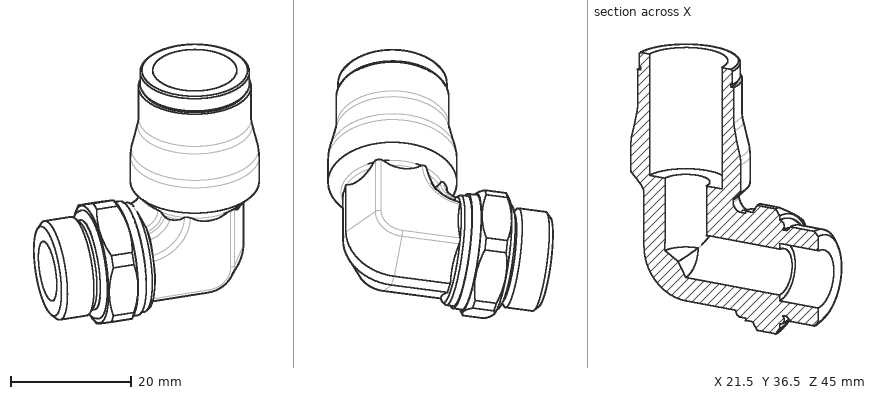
import cadquery as cq
import math


SLEEVE_TOP = 34.0
SLEEVE_RADIUS = 9.4
COLLAR_RADIUS = 9.1
COLLAR_BOTTOM = 31.35
COLLAR_CHAMFER = 0.3
COLLAR_GROOVE_RADIUS = 8.8
COLLAR_GROOVE_BOTTOM = 30.9
FLARE_RADIUS = 10.75
FLARE_TOP = 24.1
FLARE_BOTTOM = 18.3
FLARE_BLEND = 6.0
FLARE_EDGE = 12.73
SKIRT_RADIUS = 8.63
SKIRT_BOTTOM = FLARE_EDGE - (FLARE_RADIUS - SKIRT_RADIUS)
NECK_RADIUS = 8.25
NECK_BOTTOM = 9.88
NECK_ROOT_RADIUS = 7.2
NECK_ROOT = 8.2

BODY_HALF_WIDTH = 8.0
BACK_REACH = 8.18
BACK_BEVEL_START = 4.25
BEVEL_SLOPE = math.tan(math.radians(30))
BODY_BLEND = 1.0
THROAT_CENTRE = 10.8
THROAT_RUN_ON = 0.9
THROAT_BEVEL_START = 3.95
RIB_HALF_WIDTH = 4.47
RIB_TOP = 9.22
RIB_CROWN_RADIUS = 6.77
RIB_SHOULDER_RADIUS = 0.9

HUB_ROOT_RADIUS = 7.2
HUB_ROOT = 9.2
HUB_FACE_RADIUS = 8.9
HUB_FACE = 9.85
HUB_RADIUS = 9.25
HUB_CHAMFER_END = 10.4
WASHER_RADIUS = 9.65
WASHER_START = 11.57
HEX_ACROSS_FLATS = 20.0
HEX_CORNER_RADIUS = 11.0
HEX_START = 13.07
HEX_END = 18.25
HEX_FACE_RADIUS = 9.9
HEX_CHAMFER_LENGTH = 0.78
SEAL_RADIUS = 9.15
SEAL_END = 19.14
UNDERCUT_RADIUS = 7.57
UNDERCUT_END = 19.55
SPIGOT_RADIUS = 8.35
SPIGOT_CHAMFER = 0.8
SPIGOT_END = 25.75

BORE_RADIUS = 4.0
DRILL_TIP = BORE_RADIUS * math.tan(math.radians(30))
TUBE_SOCKET_RADIUS = 7.0
TUBE_SOCKET_FLOOR = FLARE_EDGE
SPIGOT_COUNTERBORE_RADIUS = 5.0
SPIGOT_COUNTERBORE_FLOOR = HEX_END


def outline(points):
    """Closed sketch through the given corner points."""
    sketch = cq.Sketch()
    for start, end in zip(points, points[1:] + points[:1]):
        sketch = sketch.segment(start, end)
    return sketch.assemble()


def round_corner(sketch, corner, radius):
    """Round the sketch corner at the given point."""
    nearest = cq.NearestToPointSelector((corner[0], corner[1], 0))
    return sketch.reset().vertices(nearest).fillet(radius).reset()


def turned_about_z(sketch):
    """Revolve a (radius, height) sketch about the Z axis."""
    return cq.Workplane("XZ").placeSketch(sketch).revolve(360, (0, 0, 0), (0, 1, 0))


def onto_spigot_axis(solid):
    """Swing a solid turned about Z onto the spigot axis, so that +Z becomes -Y."""
    return solid.rotate((0, 0, 0), (1, 0, 0), 90)


def make_sleeve():
    """Push-in sleeve with release collar, flared middle and conical neck."""
    flare_start = (SLEEVE_RADIUS, FLARE_TOP)
    flare_end = (FLARE_RADIUS, FLARE_BOTTOM)
    sketch = outline([
        (0, NECK_ROOT),
        (NECK_ROOT_RADIUS, NECK_ROOT),
        (NECK_RADIUS, NECK_BOTTOM),
        (SKIRT_RADIUS, SKIRT_BOTTOM),
        (FLARE_RADIUS, FLARE_EDGE),
        flare_end,
        flare_start,
        (SLEEVE_RADIUS, COLLAR_GROOVE_BOTTOM),
        (COLLAR_GROOVE_RADIUS, COLLAR_GROOVE_BOTTOM),
        (COLLAR_GROOVE_RADIUS, COLLAR_BOTTOM),
        (COLLAR_RADIUS, COLLAR_BOTTOM),
        (COLLAR_RADIUS, SLEEVE_TOP - COLLAR_CHAMFER),
        (COLLAR_RADIUS - COLLAR_CHAMFER, SLEEVE_TOP),
        (0, SLEEVE_TOP),
    ])
    sketch = round_corner(sketch, flare_start, FLARE_BLEND)
    sketch = round_corner(sketch, flare_end, FLARE_BLEND)
    return turned_about_z(sketch)


def make_elbow_back():
    """Outer half of the elbow: two bevelled legs joined by a quarter turn about the X axis."""
    crown_half_width = BODY_HALF_WIDTH - (BACK_REACH - BACK_BEVEL_START) / BEVEL_SLOPE
    bevel_corners = [(side * BODY_HALF_WIDTH, BACK_BEVEL_START) for side in (1, -1)]
    section = outline([
        (-BODY_HALF_WIDTH, 0),
        (BODY_HALF_WIDTH, 0),
        bevel_corners[0],
        (crown_half_width, BACK_REACH),
        (-crown_half_width, BACK_REACH),
        bevel_corners[1],
    ])
    for corner in bevel_corners:
        section = round_corner(section, corner, BODY_BLEND)
    upright_leg = cq.Workplane("XY").placeSketch(section).extrude(THROAT_CENTRE)
    level_leg = onto_spigot_axis(upright_leg).mirror("XY")
    bend = cq.Workplane("XY").placeSketch(section).revolve(90, (0, 0, 0), (-1, 0, 0))
    return upright_leg, level_leg, bend


def throat_section():
    """Cross-section of the elbow's inner side: bevelled cheeks and a crowned central rib."""
    rib_foot = THROAT_BEVEL_START + (BODY_HALF_WIDTH - RIB_HALF_WIDTH) * BEVEL_SLOPE
    section_base = THROAT_CENTRE * (1 - math.sqrt(2))

    crown_centre = RIB_TOP - RIB_CROWN_RADIUS
    shoulder_x = RIB_HALF_WIDTH - RIB_SHOULDER_RADIUS
    shoulder_rise = math.sqrt((RIB_CROWN_RADIUS - RIB_SHOULDER_RADIUS)**2 - shoulder_x**2)
    shoulder_height = crown_centre + shoulder_rise
    shoulder_turn = math.atan2(shoulder_rise, shoulder_x)
    crown_x = shoulder_x + RIB_SHOULDER_RADIUS * math.cos(shoulder_turn)
    crown_height = shoulder_height + RIB_SHOULDER_RADIUS * math.sin(shoulder_turn)
    middle_x = shoulder_x + RIB_SHOULDER_RADIUS * math.cos(shoulder_turn / 2)
    middle_height = shoulder_height + RIB_SHOULDER_RADIUS * math.sin(shoulder_turn / 2)

    section = cq.Sketch()
    section = section.segment((-BODY_HALF_WIDTH, section_base), (BODY_HALF_WIDTH, section_base))
    section = section.arc((-crown_x, crown_height), (0, RIB_TOP), (crown_x, crown_height))
    for side in (1, -1):
        base_corner = (side * BODY_HALF_WIDTH, section_base)
        bevel_corner = (side * BODY_HALF_WIDTH, THROAT_BEVEL_START)
        foot_corner = (side * RIB_HALF_WIDTH, rib_foot)
        shoulder_start = (side * RIB_HALF_WIDTH, shoulder_height)
        shoulder_middle = (side * middle_x, middle_height)
        shoulder_end = (side * crown_x, crown_height)
        section = section.segment(base_corner, bevel_corner)
        section = section.segment(bevel_corner, foot_corner)
        section = section.segment(foot_corner, shoulder_start)
        section = section.arc(shoulder_start, shoulder_middle, shoulder_end)
    section = section.assemble()
    for side in (1, -1):
        section = round_corner(section, (side * BODY_HALF_WIDTH, THROAT_BEVEL_START), BODY_BLEND)
        section = round_corner(section, (side * RIB_HALF_WIDTH, rib_foot), BODY_BLEND)
    return section


def make_throat():
    """Inner side of the elbow, swept around the throat centre and run on up into the sleeve."""
    section = throat_section()
    sweep = (
        cq.Workplane("XY")
        .placeSketch(section)
        .revolve(90, (0, THROAT_CENTRE, 0), (1, THROAT_CENTRE, 0))
        .mirror("XZ")
        .translate((0, 0, THROAT_CENTRE))
    )
    run_on = (
        cq.Workplane("XY", origin=(0, 0, THROAT_CENTRE))
        .placeSketch(section)
        .extrude(THROAT_RUN_ON)
        .mirror("XZ")
    )
    block_height = THROAT_CENTRE + THROAT_RUN_ON
    block = (
        cq.Workplane("XY")
        .box(2 * BODY_HALF_WIDTH, THROAT_CENTRE, block_height)
        .translate((0, -THROAT_CENTRE / 2, block_height / 2))
    )
    return sweep.union(run_on).intersect(block)


def make_hub():
    """Hub with washer, seal ring, undercut and chamfered spigot."""
    bead_radius = SEAL_END - HEX_END
    bead_centre_radius = SEAL_RADIUS - bead_radius
    bead_root = HEX_END + math.sqrt(bead_radius**2 - (bead_centre_radius - UNDERCUT_RADIUS)**2)
    undercut_ramp = SPIGOT_RADIUS - UNDERCUT_RADIUS
    profile = (
        cq.Workplane("XZ")
        .moveTo(0, HUB_ROOT)
        .lineTo(HUB_ROOT_RADIUS, HUB_ROOT)
        .lineTo(HUB_FACE_RADIUS, HUB_FACE)
        .lineTo(HUB_RADIUS, HUB_CHAMFER_END)
        .lineTo(HUB_RADIUS, WASHER_START)
        .lineTo(WASHER_RADIUS, WASHER_START)
        .lineTo(WASHER_RADIUS, HEX_START)
        .lineTo(SEAL_RADIUS, HEX_START)
        .lineTo(SEAL_RADIUS, HEX_END)
        .threePointArc((bead_centre_radius, SEAL_END), (UNDERCUT_RADIUS, bead_root))
        .lineTo(UNDERCUT_RADIUS, UNDERCUT_END)
        .lineTo(SPIGOT_RADIUS, UNDERCUT_END + undercut_ramp)
        .lineTo(SPIGOT_RADIUS, SPIGOT_END - SPIGOT_CHAMFER)
        .lineTo(SPIGOT_RADIUS - SPIGOT_CHAMFER, SPIGOT_END)
        .lineTo(0, SPIGOT_END)
        .close()
    )
    return onto_spigot_axis(profile.revolve(360, (0, 0, 0), (0, 1, 0)))


def make_hexagon():
    """Hexagon with flats facing +-X and its corners turned down and chamfered."""
    hexagon = (
        cq.Workplane("XZ", origin=(0, -HEX_START, 0))
        .polygon(6, HEX_ACROSS_FLATS, circumscribed=True)
        .extrude(HEX_END - HEX_START)
    )
    envelope = outline([
        (0, HEX_START),
        (HEX_FACE_RADIUS, HEX_START),
        (HEX_CORNER_RADIUS, HEX_START + HEX_CHAMFER_LENGTH),
        (HEX_CORNER_RADIUS, HEX_END - HEX_CHAMFER_LENGTH),
        (HEX_FACE_RADIUS, HEX_END),
        (0, HEX_END),
    ])
    return hexagon.intersect(onto_spigot_axis(turned_about_z(envelope)))


def bore_outline(socket_radius, socket_floor, mouth):
    """Stepped (radius, distance) bore outline ending in a drill point just past the origin."""
    return outline([
        (0, -DRILL_TIP),
        (BORE_RADIUS, 0),
        (BORE_RADIUS, socket_floor),
        (socket_radius, socket_floor),
        (socket_radius, mouth),
        (0, mouth),
    ])


result = make_sleeve()
for piece in (*make_elbow_back(), make_throat(), make_hub(), make_hexagon()):
    result = result.union(piece)

tube_bore = bore_outline(TUBE_SOCKET_RADIUS, TUBE_SOCKET_FLOOR, SLEEVE_TOP)
spigot_bore = bore_outline(SPIGOT_COUNTERBORE_RADIUS, SPIGOT_COUNTERBORE_FLOOR, SPIGOT_END)
result = result.cut(turned_about_z(tube_bore))
result = result.cut(onto_spigot_axis(turned_about_z(spigot_bore)))